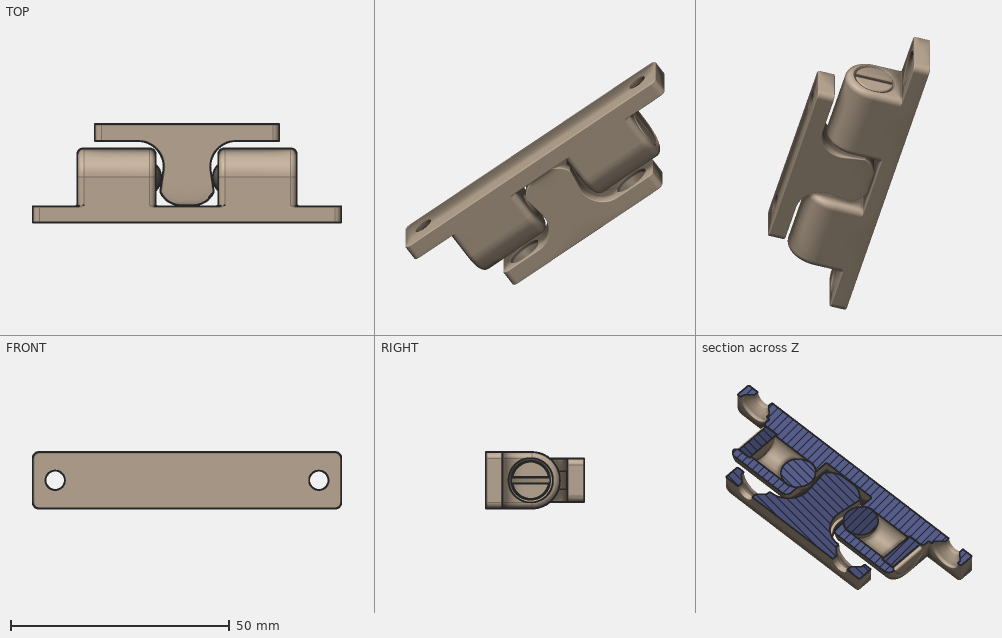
import cadquery as cq
import math

SIDES = (-1, 1)

edge_round = 0.225
corner_radius = 1.5

hole_radius = 2.2
head_radius = 4.0
head_recess_depth = 0.85
hole_rim_round = 0.2

base_length = 70.7
base_width = 13.0
base_thickness = 3.8
base_hole_x = 30.2
tower_inner_x = 7.15
tower_length = 18.0
tower_outer_x = tower_inner_x + tower_length
tower_radius = base_width / 2
tower_axis_y = 10.5

bore_axis_y = 10.3
screw_bore_radius = 4.45
mouth_chamfer = 0.65

ball_radius = 4.0
ball_protrusion = 1.3
ball_tip_x = tower_inner_x - ball_protrusion
ball_x = ball_tip_x + ball_radius
screw_length = 4.25
screw_chamfer = 0.2
screw_inner_x = tower_outer_x - screw_length
slot_width = 1.3
slot_depth = 0.85

total_depth = 22.6
strike_length = 42.3
strike_width = 10.05
strike_plate_y = 18.7
strike_thickness = total_depth - strike_plate_y
strike_hole_x = 15.0
neck_radius = 5.8
neck_half_width = 5.4
neck_center_x = neck_half_width + neck_radius
neck_center_y = strike_plate_y - neck_radius
tongue_tip_y = 3.95
tongue_flat_half = 1.4
tongue_corner_x = 6.15
tongue_corner_y = 7.15

channel_width = 4.1
channel_depth = 0.6


def rounded_plate(length, thickness, width):
    """Plate standing on Y = 0, with rounded corners."""
    return (
        cq.Workplane("XY")
        .box(length, thickness, width, centered=(True, False, True))
        .edges("|Y")
        .fillet(corner_radius)
    )


def mounting_hole(x, head_y, thickness):
    """Cutter for a countersunk hole along Y whose head side, at head_y, faces -Y."""
    rim_radius = head_radius + hole_rim_round
    rim_inset = hole_rim_round * (1 - math.sqrt(0.5))
    rim_mid = (x + head_radius + rim_inset, head_y + rim_inset)
    cone_start_y = head_y + head_recess_depth
    cone_end_y = cone_start_y + head_radius - hole_radius
    return (
        cq.Workplane("XY")
        .moveTo(x, head_y)
        .lineTo(x + rim_radius, head_y)
        .threePointArc(rim_mid, (x + head_radius, head_y + hole_rim_round))
        .lineTo(x + head_radius, cone_start_y)
        .lineTo(x + hole_radius, cone_end_y)
        .lineTo(x + hole_radius, head_y + thickness)
        .lineTo(x, head_y + thickness)
        .close()
        .revolve(360, (x, 0), (x, 1))
    )


def make_tower(side):
    """Round-topped block with rounded end outlines, standing on Y = 0."""
    tower = (
        cq.Workplane("YZ", origin=(side * tower_inner_x, 0, 0))
        .moveTo(0, -tower_radius)
        .lineTo(tower_axis_y, -tower_radius)
        .threePointArc((tower_axis_y + tower_radius, 0), (tower_axis_y, tower_radius))
        .lineTo(0, tower_radius)
        .close()
        .extrude(side * tower_length)
    )
    end_outlines = tower.faces("|X").edges().filter(lambda edge: edge.Center().y > 0)
    return end_outlines.fillet(corner_radius)


def make_bore(side):
    """Cutter: chamfered screw bore, then a ball bore that ends in a spherical seat."""
    diagonal = ball_radius * math.sqrt(0.5)
    return (
        cq.Workplane("XY")
        .moveTo(side * ball_tip_x, bore_axis_y)
        .threePointArc(
            (side * (ball_x - diagonal), bore_axis_y + diagonal),
            (side * ball_x, bore_axis_y + ball_radius),
        )
        .lineTo(side * screw_inner_x, bore_axis_y + ball_radius)
        .lineTo(side * screw_inner_x, bore_axis_y + screw_bore_radius)
        .lineTo(side * (tower_outer_x - mouth_chamfer), bore_axis_y + screw_bore_radius)
        .lineTo(side * tower_outer_x, bore_axis_y + screw_bore_radius + mouth_chamfer)
        .lineTo(side * tower_outer_x, bore_axis_y)
        .close()
        .revolve(360, (0, bore_axis_y), (1, bore_axis_y))
    )


def at_plate_top(edge):
    return abs(edge.Center().y - base_thickness) < edge_round / 2


def on_plate_rim(edge, width):
    """True for an edge on the outer boundary of a base plate of the given width."""
    center = edge.Center()
    return abs(center.x) > base_hole_x or abs(center.z) > width / 2 - edge_round / 2


def make_housing():
    wide_width = 2 * base_width
    housing = rounded_plate(base_length, base_thickness, wide_width)
    for side in SIDES:
        housing = housing.union(make_tower(side))
    feet = housing.edges().filter(lambda edge: at_plate_top(edge) and not on_plate_rim(edge, wide_width))
    housing = feet.fillet(edge_round)
    housing = housing.intersect(rounded_plate(base_length, total_depth, base_width))

    rim = housing.edges().filter(lambda edge: at_plate_top(edge) and on_plate_rim(edge, base_width))
    housing = rim.fillet(edge_round)
    housing = housing.faces("<Y").edges().fillet(edge_round)

    for side in SIDES:
        hole = mounting_hole(side * base_hole_x, -base_thickness, base_thickness).mirror("XZ")
        housing = housing.cut(make_bore(side)).cut(hole)
    return housing


def make_ball(side):
    return cq.Workplane("XY", origin=(side * ball_x, bore_axis_y, 0)).sphere(ball_radius)


def make_adjusting_screw(side):
    """Slotted plug in the outer end of the bore, flush with the tower."""
    outer_end = cq.Workplane("YZ", origin=(side * tower_outer_x, bore_axis_y, 0))
    plug = outer_end.circle(screw_bore_radius).extrude(-side * screw_length)
    slot = outer_end.rect(2 * screw_bore_radius, slot_width).extrude(-side * slot_depth)
    end_face = ">X" if side > 0 else "<X"
    return plug.cut(slot).faces(end_face).edges().chamfer(screw_chamfer)


def neck_point(angle):
    """Point on the +X neck arc; the angle runs from the narrowest point towards the tip."""
    return (
        neck_center_x - neck_radius * math.cos(angle),
        neck_center_y - neck_radius * math.sin(angle),
    )


corner_dx = neck_center_x - tongue_corner_x
corner_dy = neck_center_y - tongue_corner_y
flank_angle = math.atan2(corner_dy, corner_dx) - math.acos(neck_radius / math.hypot(corner_dx, corner_dy))
flank_start = neck_point(flank_angle)
neck_mid = neck_point(-math.pi / 4)


def strike_half():
    """The +X half of the strike; its rounded tip meets the flat end tangentially."""
    rise = tongue_corner_y - tongue_tip_y
    reach = tongue_corner_x - tongue_flat_half
    tip_radius = (rise**2 + reach**2) / (2 * rise)
    half_sweep = math.atan2(rise, reach)
    tip_mid = (
        tongue_flat_half + tip_radius * math.sin(half_sweep),
        tongue_tip_y + tip_radius * (1 - math.cos(half_sweep)),
    )
    return (
        cq.Workplane("XY")
        .moveTo(0, total_depth)
        .lineTo(strike_length / 2, total_depth)
        .lineTo(strike_length / 2, strike_plate_y)
        .lineTo(neck_center_x, strike_plate_y)
        .threePointArc(neck_mid, flank_start)
        .lineTo(tongue_corner_x, tongue_corner_y)
        .threePointArc(tip_mid, (tongue_flat_half, tongue_tip_y))
        .lineTo(0, tongue_tip_y)
        .close()
        .extrude(strike_width / 2, both=True)
    )


def ball_channel():
    """Cutter for the +X flank: the neck and flank outline moved inwards by the channel depth."""
    flank_slope = (tongue_corner_x - flank_start[0]) / (flank_start[1] - tongue_corner_y)
    flank_end_x = tongue_corner_x + flank_slope * (tongue_corner_y - tongue_tip_y)
    return (
        cq.Workplane("XY", origin=(-channel_depth, 0, 0))
        .moveTo(neck_center_x, strike_plate_y)
        .threePointArc(neck_mid, flank_start)
        .lineTo(flank_end_x, tongue_tip_y)
        .lineTo(neck_center_x, tongue_tip_y)
        .close()
        .extrude(channel_width / 2, both=True)
    )


def make_strike():
    half = strike_half()
    strike = half.union(half.mirror("YZ")).clean()
    strike = strike.edges("|Y").fillet(corner_radius)
    strike = strike.faces("<Z or >Z or >Y").edges().fillet(edge_round)
    channel = ball_channel()
    strike = strike.cut(channel).cut(channel.mirror("YZ"))
    for side in SIDES:
        strike = strike.cut(mounting_hole(side * strike_hole_x, strike_plate_y, strike_thickness))
    return strike


housing = make_housing()
strike = make_strike()
balls = [make_ball(side) for side in SIDES]
screws = [make_adjusting_screw(side) for side in SIDES]
result = cq.Compound.makeCompound(
    [
        housing.val(),
        strike.val(),
        *[ball.val() for ball in balls],
        *[screw.val() for screw in screws],
    ]
)